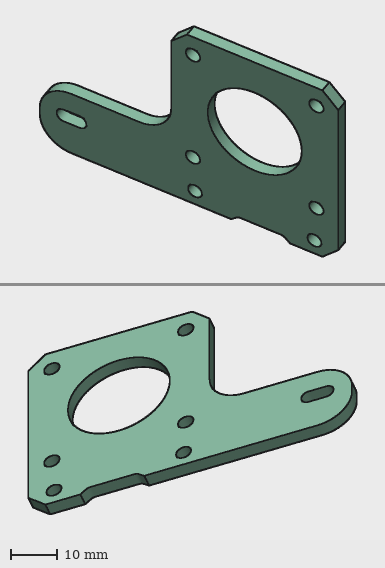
import cadquery as cq

length = 75.0
height = 50.5
thickness = 3.0

flange_width = 42.0
corner_chamfer = 4.0
flange_left = length - flange_width

arm_height = 18.0
arm_corner_radius = 8.0
inner_corner_radius = 8.0

bore_diameter = 23.6
motor_hole_diameter = 3.6
motor_hole_pitch = 31.0
motor_x = flange_left + flange_width / 2
motor_z = height - flange_width / 2

base_hole_diameter = 3.5
base_hole_pitch = 30.0
base_hole_z = 4.0

slot_length = 7.5
slot_width = 3.5
slot_x = 8.0
slot_z = 10.5

relief_x = 55.5
relief_mouth_width = 14.8
relief_floor_width = 11.3
relief_depth = 1.5
relief_corner_radius = 1.5


def front_plane():
    """Workplane on the front face; extruding negatively goes into the plate (+Y)."""
    return cq.Workplane("XZ")


def make_plate():
    return (
        front_plane()
        .moveTo(0, arm_corner_radius)
        .lineTo(0, arm_height - arm_corner_radius)
        .radiusArc((arm_corner_radius, arm_height), arm_corner_radius)
        .lineTo(flange_left - inner_corner_radius, arm_height)
        .radiusArc((flange_left, arm_height + inner_corner_radius), -inner_corner_radius)
        .lineTo(flange_left, height - corner_chamfer)
        .lineTo(flange_left + corner_chamfer, height)
        .lineTo(length - corner_chamfer, height)
        .lineTo(length, height - corner_chamfer)
        .lineTo(length, corner_chamfer)
        .lineTo(length - corner_chamfer, 0)
        .lineTo(arm_corner_radius, 0)
        .radiusArc((0, arm_corner_radius), arm_corner_radius)
        .close()
        .extrude(-thickness)
    )


def make_round_cutter(points, diameter):
    return front_plane().pushPoints(points).circle(diameter / 2).extrude(-thickness)


def make_slot_cutter():
    return (
        front_plane()
        .center(slot_x, slot_z)
        .slot2D(slot_length, slot_width)
        .extrude(-thickness)
    )


def make_relief_cutter():
    half_mouth = relief_mouth_width / 2
    half_floor = relief_floor_width / 2
    return (
        front_plane()
        .center(relief_x, 0)
        .moveTo(-half_mouth, 0)
        .lineTo(-half_floor, relief_depth)
        .lineTo(half_floor, relief_depth)
        .lineTo(half_mouth, 0)
        .close()
        .extrude(-thickness)
        .edges("|Y and >Z")
        .fillet(relief_corner_radius)
    )


motor_holes = [
    (motor_x + side * motor_hole_pitch / 2, motor_z + level * motor_hole_pitch / 2)
    for side in (-1, 1)
    for level in (-1, 1)
]
base_holes = [(motor_x + side * base_hole_pitch / 2, base_hole_z) for side in (-1, 1)]

result = (
    make_plate()
    .cut(make_round_cutter([(motor_x, motor_z)], bore_diameter))
    .cut(make_round_cutter(motor_holes, motor_hole_diameter))
    .cut(make_round_cutter(base_holes, base_hole_diameter))
    .cut(make_slot_cutter())
    .cut(make_relief_cutter())
)